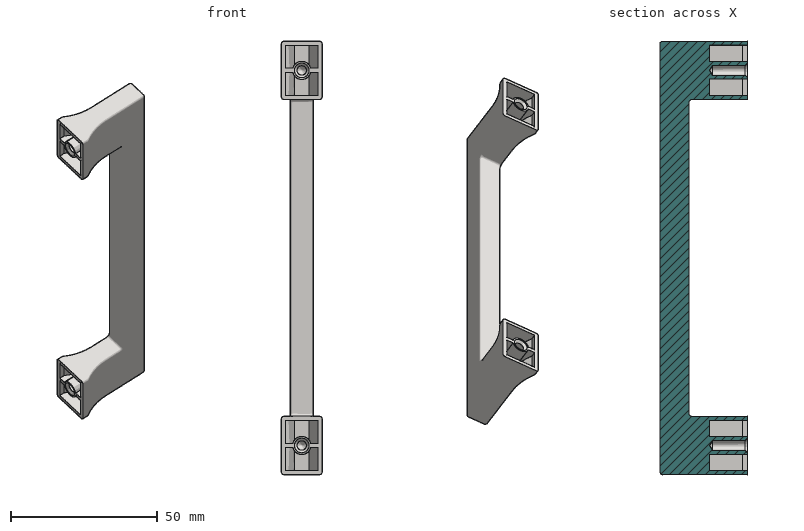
import cadquery as cq
import math

length = 148.0
depth = 30.0
bar_width = 8.0
bar_depth = 10.0
foot_width = 14.0
foot_height = 20.0

flare_radius = 19.0
flare_start = 17.5
flare_end_radius = 1.5

edge_radius = 1.0
inner_corner_radius = 1.0

wall = 1.5
pocket_depth = 13.0
rib_thickness = 1.5

boss_diameter = 6.2
countersink_diameter = 5.0
screw_diameter = 3.2
screw_depth = 12.0
drill_point_angle = 118.0

front_y = -depth / 2
back_y = depth / 2
flare_start_y = back_y - flare_start
pocket_floor_y = front_y + pocket_depth
foot_centre_z = (length - foot_height) / 2


def flared_prism(inset, rear_y, height):
    """Prism along Z, centred on Z = 0, with sides set in by `inset` from the outer surface of a foot."""
    half_bar = bar_width / 2 - inset
    half_foot = foot_width / 2 - inset
    radius = flare_radius + inset
    sweep = math.acos(1 - (half_foot - half_bar) / radius)
    flare_end_y = flare_start_y - radius * math.sin(sweep)
    mid_x = half_bar + radius * (1 - math.cos(sweep / 2))
    mid_y = flare_start_y - radius * math.sin(sweep / 2)
    return (
        cq.Workplane("XY")
        .moveTo(-half_bar, rear_y)
        .lineTo(half_bar, rear_y)
        .lineTo(half_bar, flare_start_y)
        .threePointArc((mid_x, mid_y), (half_foot, flare_end_y))
        .lineTo(half_foot, front_y)
        .lineTo(-half_foot, front_y)
        .lineTo(-half_foot, flare_end_y)
        .threePointArc((-mid_x, mid_y), (-half_bar, flare_start_y))
        .close()
        .extrude(height / 2, both=True)
    )


def is_rounded(edge):
    """True for the sharp edges bounding the sides and the grip face.

    The mounting rim, the seams down the foot sides and the lines across the bar in the opening stay as they are.
    """
    box = edge.BoundingBox()
    on_rim = box.ymax < front_y + edge_radius / 2
    on_foot = box.ymax < back_y - bar_depth - inner_corner_radius / 2
    along_z = box.zlen > edge_radius and box.ylen < edge_radius / 2
    across_bar = box.xlen > bar_width / 2 and box.ymax < back_y - edge_radius
    return not (on_rim or across_bar or (on_foot and along_z))


def handle_body():
    """Flared bar with the hand opening between the feet and its outer edges rounded."""
    opening_height = length - 2 * foot_height
    opening_depth = depth - bar_depth
    opening = (
        cq.Workplane("XY")
        .box(2 * foot_width, 2 * opening_depth, opening_height)
        .edges("|X and >Y")
        .fillet(inner_corner_radius)
        .translate((0, front_y, 0))
    )
    body = flared_prism(0, back_y, length)
    body = body.edges("|Z and (<X or >X)").edges(">Y").fillet(flare_end_radius).cut(opening)
    rounded = [edge for edge in body.edges().vals() if is_rounded(edge)]
    return body.newObject(rounded).fillet(edge_radius)


def front_plane():
    """Workplane on the mounting face at Z = 0, with its normal pointing out of the part (-Y)."""
    return cq.Workplane("XZ", origin=(0, front_y, 0))


def screw_hole():
    """Blind hole with a 90 degree countersink and a conical drill point, bored along +Y at Z = 0."""
    screw_radius = screw_diameter / 2
    countersink_radius = countersink_diameter / 2
    countersink_depth = countersink_radius - screw_radius
    point_depth = screw_radius / math.tan(math.radians(drill_point_angle / 2))
    return (
        cq.Workplane("XY")
        .moveTo(0, front_y)
        .lineTo(countersink_radius, front_y)
        .lineTo(screw_radius, front_y + countersink_depth)
        .lineTo(screw_radius, front_y + screw_depth)
        .lineTo(0, front_y + screw_depth + point_depth)
        .close()
        .revolve(360, (0, 0, 0), (0, 1, 0))
    )


def foot_hollow():
    """Space removed from a foot centred on Z = 0: the pocket around the boss and ribs, plus the screw hole."""
    pocket = flared_prism(wall, pocket_floor_y, foot_height - 2 * wall)
    ribs = front_plane().rect(foot_width, rib_thickness).extrude(-pocket_depth)
    boss = front_plane().circle(boss_diameter / 2).extrude(-pocket_depth)
    return pocket.cut(ribs).cut(boss).union(screw_hole())


result = handle_body()
for side in (-1, 1):
    result = result.cut(foot_hollow().translate((0, 0, side * foot_centre_z)))